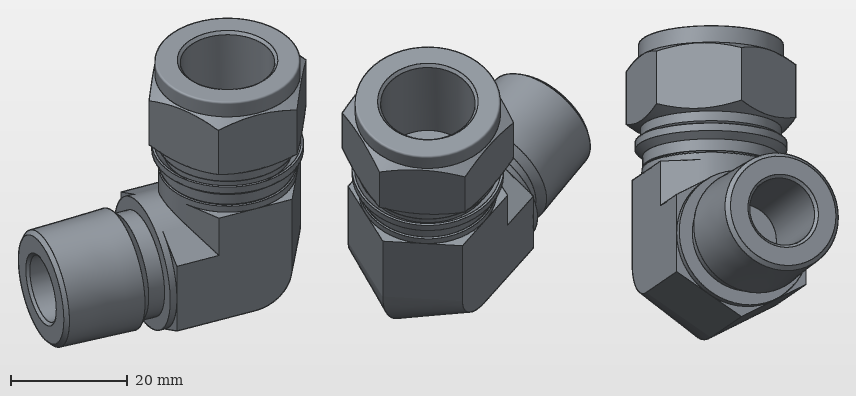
import cadquery as cq
import math


body_flats = 23.8
body_radius = body_flats / 2
body_corner = body_radius / math.cos(math.radians(30))
tangent_x = body_radius * math.sin(math.radians(30))
tangent_y = body_radius * math.cos(math.radians(30))
leg_end = 14.75
shoulder_end = 16.0

total_height = 52.15
total_depth = 49.75
nut_flats = 25.55
nut_corner = nut_flats / 2 / math.cos(math.radians(30))
nut_end = total_height - body_corner
thread_end = total_depth - nut_corner

groove_radius = 22.95 / 2
groove_top = 16.4
ring_radius = 23.5 / 2
flange_radius = 26.1 / 2
flange_cone_bottom = 18.4
flange_bottom = 19.55
flange_top = 20.9
gap_radius = 22.2 / 2
flange_lip = 0.4
dish_radius = flange_radius - flange_lip
dish_bottom = flange_top - (dish_radius - gap_radius)
collar_bottom = 21.25
collar_radius = 24.3 / 2
collar_chamfer = 0.3

hex_bottom = 23.25
hex_top = 35.4
nut_bevel_slope = math.tan(math.radians(30))
rim_radius = 25.0 / 2
rim_fillet = 0.35
nut_bore_radius = 16.2 / 2
nut_bore_floor = collar_bottom

neck_radius = 19.0 / 2
neck_end = 19.0
thread_start = 20.3
thread_root_radius = 21.7 / 2
thread_tip_radius = 20.8 / 2
thread_chamfer = 0.75
thread_bore_radius = 11.9 / 2
thread_bore_floor = shoulder_end
bore_chamfer = 0.5


def turned(profile):
    """Solid of revolution about Z from (radius, height) points, closed along the axis."""
    start, end = profile[0][1], profile[-1][1]
    outline = [(0, start)] + profile + [(0, end)]
    return cq.Workplane("XZ").polyline(outline).close().revolve(360, (0, 0, 0), (0, 1, 0))


def to_thread_leg(solid):
    """Turn a solid built along +Z so that it points along -Y."""
    return solid.rotate((0, 0, 0), (1, 0, 0), 90)


def bore(radius, floor, mouth):
    """Blind bore with a chamfered mouth."""
    return turned([
        (radius, floor),
        (radius, mouth - bore_chamfer),
        (radius + bore_chamfer, mouth),
    ])


def vertical_leg():
    """Hexagonal section cut off where its inner flats run tangent into the round stem."""
    return (
        cq.Workplane("XY")
        .moveTo(0, body_corner)
        .lineTo(body_radius, body_corner / 2)
        .lineTo(body_radius, -body_corner / 2)
        .lineTo(tangent_x, -tangent_y)
        .lineTo(-tangent_x, -tangent_y)
        .lineTo(-body_radius, -body_corner / 2)
        .lineTo(-body_radius, body_corner / 2)
        .close()
        .extrude(leg_end)
    )


def horizontal_leg():
    """The vertical leg mirrored across the 45 degree plane between the two axes."""
    return to_thread_leg(vertical_leg().rotate((0, 0, 0), (0, 0, 1), 180))


def outer_bend():
    """Outer half of the hexagon swept a quarter turn about X."""
    half_section = [
        (-body_radius, 0),
        (-body_radius, body_corner / 2),
        (0, body_corner),
        (body_radius, body_corner / 2),
        (body_radius, 0),
    ]
    return cq.Workplane("XY").polyline(half_section).close().revolve(90, (0, 0, 0), (-1, 0, 0))


def nut_stem():
    """Shoulder, rings, dished flange and collars on the vertical axis, with a rounded rim."""
    stem = turned([
        (body_radius, 0),
        (body_radius, shoulder_end),
        (groove_radius, shoulder_end),
        (groove_radius, groove_top),
        (ring_radius, groove_top),
        (ring_radius, flange_cone_bottom),
        (flange_radius, flange_bottom),
        (flange_radius, flange_top),
        (dish_radius, flange_top),
        (gap_radius, dish_bottom),
        (gap_radius, collar_bottom),
        (collar_radius - collar_chamfer, collar_bottom),
        (collar_radius, collar_bottom + collar_chamfer),
        (collar_radius, hex_bottom),
        (rim_radius, hex_top),
        (rim_radius, nut_end),
    ])
    return stem.faces(">Z").edges().fillet(rim_fillet)


def nut_hexagon():
    """Hexagon with a ridge toward -Y and conical bevels at both ends."""
    hexagon = (
        cq.Workplane("XY")
        .workplane(offset=hex_bottom)
        .polygon(6, 2 * nut_corner)
        .extrude(hex_top - hex_bottom)
        .rotate((0, 0, 0), (0, 0, 1), 30)
    )
    bevels = turned([
        (collar_radius, hex_bottom),
        (nut_corner, hex_bottom + (nut_corner - collar_radius) * nut_bevel_slope),
        (nut_corner, hex_top - (nut_corner - rim_radius) * nut_bevel_slope),
        (rim_radius, hex_top),
    ])
    return hexagon.intersect(bevels)


def thread_stem():
    """Shoulder, neck and tapered thread blank on the horizontal axis."""
    return to_thread_leg(turned([
        (body_radius, 0),
        (body_radius, shoulder_end),
        (neck_radius, shoulder_end),
        (neck_radius, neck_end),
        (thread_root_radius, thread_start),
        (thread_tip_radius, thread_end - thread_chamfer),
        (thread_tip_radius - thread_chamfer, thread_end),
    ]))


elbow = vertical_leg().union(horizontal_leg()).union(outer_bend())
fitting = elbow.union(nut_stem()).union(nut_hexagon()).union(thread_stem())
nut_bore = bore(nut_bore_radius, nut_bore_floor, nut_end)
thread_bore = to_thread_leg(bore(thread_bore_radius, thread_bore_floor, thread_end))

result = fitting.cut(nut_bore).cut(thread_bore)